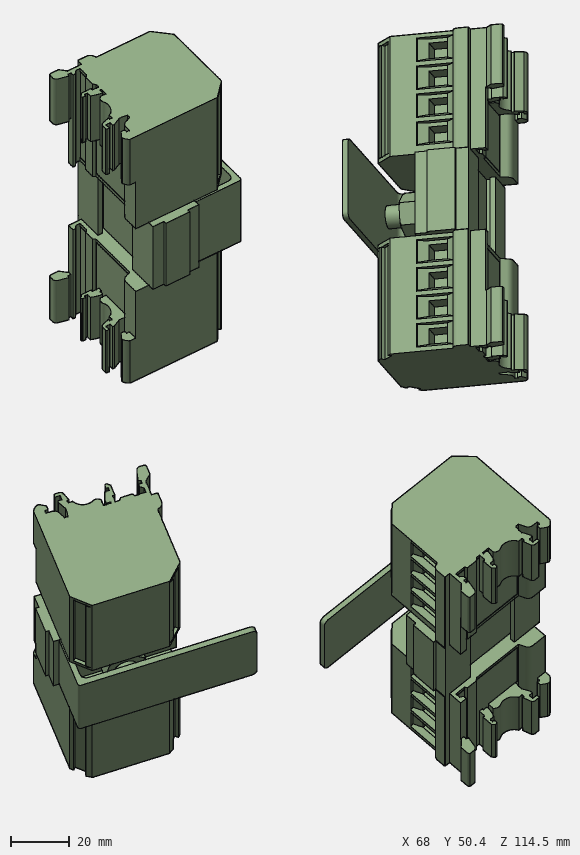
import cadquery as cq
import math


total_height = 114.5
slices_per_stack = 4
slice_pitch = 10.1
end_plate = 1.5
slices_height = slices_per_stack * slice_pitch
lower_height = slices_height + end_plate
upper_height = slices_height + 2 * end_plate
block_height = total_height - lower_height - upper_height
block_bottom = lower_height
block_top = block_bottom + block_height
block_middle = block_bottom + block_height / 2

body_width = 40.1
body_top = 46.4
body_chamfer = 6.0
shoulder = 40.4
ledge_width = 2.3
ledge_bottom = 11.9
ledge_chamfer = 0.2
ledge_side_top = 15.5
ledge_top = 18.1
seat = 10.3
seat_recess = 0.1
trim = 6.5
clip_zone = 19.9
clip_hollow_left = 11.1
clip_hollow_right = 31.0
seat_recess_right = 30.5
foot_notch_left = 1.5
bump_left = 5.5
hook_neck_left = 12.6
hook_neck_right = 14.1
pad_left = 16.8
small_hook_gaps = ((clip_hollow_left, hook_neck_left), (hook_neck_right, pad_left))

entry_height = 8.5
entry_top = 31.0
entry_lip = 1.0
entry_depth = 2.2
entry_floor_rise = 1.4
hole_top = 27.3
hole_bottom = 20.7
hole_roof_gap = 1.5
hole_depth = 6.9
ramp_end = 19.2

channel_bottom = 41.5
channel_top = 44.7
channel_depth = 0.9
ridge_top = 45.9
ridge_rise = 0.6

block_left = -3.2
block_right = 43.7
block_step = 1.1
block_y = (ledge_bottom, 16.5, 26.5, 31.0)
relief_left = 9.8
relief_right = 30.6
relief_lip = 2.0
relief_depth = 3.7
relief_undercut = 2.0

plate_top = 50.4
plate_thickness = 2.1
plate_left = -24.3
plate_right = 40.5
plate_inset = 0.3
plate_corner = 2.1
bend_outer = 0.9
bend_inner = 2.3

stud_diameter = 8.0
stud_top = 46.8
stud_x = body_width / 2
nut_flats = 13.4
nut_bottom = 34.5
nut_height = 6.5
nut_turn = -13.0
nut_chamfer = 0.5


def box(x0, x1, y0, y1, z0, z1):
    return cq.Workplane("XY").box(x1 - x0, y1 - y0, z1 - z0, centered=False).translate((x0, y0, z0))


def housing(z0, height):
    """Terminal housing with its rail feet, spring hooks and side ledge."""
    return (
        cq.Workplane("XY", origin=(0, 0, z0))
        .moveTo(body_chamfer, body_top)
        .lineTo(0, shoulder)
        .lineTo(0, ledge_top)
        .lineTo(-0.9, 17.7)
        .threePointArc((-2.0, 16.8), (-ledge_width, ledge_side_top))
        .lineTo(-ledge_width, ledge_bottom + ledge_chamfer)
        .lineTo(-ledge_width + ledge_chamfer, ledge_bottom)
        .lineTo(0, ledge_bottom)
        .lineTo(0, 6.2)
        .lineTo(-ledge_width, 4.0)
        .lineTo(-ledge_width, 0.9)
        .threePointArc((-2.2, 0.5), (-1.8, 0))
        .lineTo(0.2, 0)
        .threePointArc((0.9, 0.3), (1.4, 0.9))
        .lineTo(2.4, 5.2)
        .lineTo(foot_notch_left, 5.4)
        .lineTo(foot_notch_left, trim)
        .lineTo(2.7, trim)
        .lineTo(2.7, 7.5)
        .lineTo(foot_notch_left, 8.6)
        .lineTo(foot_notch_left, seat)
        .lineTo(bump_left, seat)
        .lineTo(6.1, 9.4)
        .lineTo(10.3, 9.4)
        .lineTo(clip_hollow_left, seat)
        .lineTo(hook_neck_left, seat)
        .lineTo(hook_neck_left, 7.8)
        .lineTo(11.8, 7.8)
        .lineTo(11.8, 3.7)
        .lineTo(12.8, 2.6)
        .lineTo(13.5, 2.6)
        .lineTo(13.7, 3.1)
        .lineTo(13.7, 4.2)
        .lineTo(12.9, 4.2)
        .lineTo(12.9, 5.4)
        .lineTo(14.7, 5.4)
        .threePointArc((15.2, 6.9), (15.7, 8.8))
        .lineTo(15.7, 9.8)
        .lineTo(hook_neck_right, 9.8)
        .lineTo(hook_neck_right, seat)
        .lineTo(pad_left, seat)
        .lineTo(pad_left, 8.0)
        .threePointArc((18.4, 7.1), (20.0, 7.5))
        .threePointArc((22.8, 7.8), (26.2, 5.2))
        .lineTo(27.8, 5.3)
        .lineTo(27.8, 4.2)
        .lineTo(27.1, 4.2)
        .lineTo(28.2, 1.0)
        .threePointArc((28.6, 0.6), (29.2, 0.3))
        .lineTo(31.0, 0.3)
        .lineTo(31.4, 0.7)
        .lineTo(31.4, 1.6)
        .lineTo(29.4, 1.6)
        .lineTo(29.4, 3.3)
        .lineTo(30.9, 3.3)
        .lineTo(30.9, 4.1)
        .lineTo(29.4, 7.1)
        .lineTo(29.4, 8.6)
        .lineTo(29.8, seat)
        .lineTo(clip_hollow_right, seat)
        .lineTo(32.1, 7.9)
        .threePointArc((32.9, 7.0), (34.1, trim))
        .lineTo(36.3, trim)
        .lineTo(36.3, 5.4)
        .lineTo(35.2, 5.4)
        .lineTo(35.2, 3.9)
        .lineTo(37.3, 2.5)
        .lineTo(38.0, 2.4)
        .threePointArc((39.3, 3.2), (body_width, 4.2))
        .lineTo(body_width, shoulder)
        .lineTo(body_width - body_chamfer, body_top)
        .close()
        .extrude(height)
    )


def clip_cutout(z0, z1):
    """Material removed where the stack carries no rail clips."""
    feet = box(-ledge_width, body_width, 0, trim, z0, z1)
    hollow = box(clip_hollow_left, clip_hollow_right, 0, seat, z0, z1)
    return feet.union(hollow)


def seat_cutout(z0, free_bottom, free_top):
    """Slight setback of the slices' seat between their end plates."""
    z1 = z0 + slices_height
    recess = box(foot_notch_left, bump_left, seat, seat + seat_recess, z0, z1)
    for x0, x1 in small_hook_gaps:
        recess = recess.union(box(x0, x1, seat, seat + seat_recess, z0, z1))
    hollow = box(
        clip_hollow_left, seat_recess_right, seat, seat + seat_recess, max(z0, free_bottom), min(z1, free_top)
    )
    return recess.union(hollow)


def wire_entry(top):
    """Funnel with a sloping floor, and the square wire hole behind it."""
    bottom = top - entry_height
    plan = (
        cq.Workplane("XY", origin=(0, 0, bottom))
        .polyline([
            (0, entry_top), (entry_lip, entry_top), (entry_depth, hole_top),
            (entry_depth, hole_bottom), (entry_lip, ramp_end), (0, ledge_top),
        ])
        .close()
        .extrude(entry_height)
    )
    section = (
        cq.Workplane("XZ", origin=(0, entry_top, 0))
        .polyline([(0, bottom), (0, top), (entry_depth, top), (entry_depth, bottom + entry_floor_rise)])
        .close()
        .extrude(entry_top - ledge_top)
    )
    hole = box(
        0, entry_depth + hole_depth, hole_bottom, hole_top, bottom + entry_floor_rise, top - hole_roof_gap
    )
    return plan.intersect(section).union(hole)


def chamfer_x(y):
    """X of the left corner chamfer at height y."""
    return (y - shoulder) * body_chamfer / (body_top - shoulder)


def along_slices(points, z0, mirrored):
    """Prism along all slices of a stack, on the left chamfer or mirrored onto the right one."""
    if mirrored:
        points = [(body_width - x, y) for x, y in points]
    return cq.Workplane("XY", origin=(0, 0, z0)).polyline(points).close().extrude(slices_height)


def marker_channel(z0, mirrored):
    x0 = chamfer_x(channel_bottom)
    x1 = chamfer_x(channel_top)
    points = [
        (x0, channel_bottom), (x1, channel_top),
        (x1 + channel_depth, channel_top - channel_depth), (x0 + channel_depth, channel_bottom - channel_depth),
    ]
    return along_slices(points, z0, mirrored)


def marker_ridge(z0, mirrored):
    x0 = chamfer_x(channel_top)
    x1 = chamfer_x(ridge_top)
    points = [(x0, channel_top), (x0, channel_top + ridge_rise), (x1, ridge_top)]
    return along_slices(points, z0, mirrored)


def stack(z0, height, slices_bottom, free_bottom, free_top):
    body = housing(z0, height).cut(clip_cutout(free_bottom, free_top)).cut(
        seat_cutout(slices_bottom, free_bottom, free_top)
    )
    for i in range(slices_per_stack):
        body = body.cut(wire_entry(slices_bottom + (i + 1) * slice_pitch))
    for mirrored in (False, True):
        body = body.cut(marker_channel(slices_bottom, mirrored))
        body = body.union(marker_ridge(slices_bottom, mirrored))
    return body


def centre_block():
    """Stepped block with an undercut slot along its rail side."""
    y0, y1, y2, y3 = block_y
    narrow = box(block_left + block_step, block_right - block_step, y0, y3, block_bottom, block_top)
    wide = box(block_left, block_right, y1, y2, block_bottom, block_top)
    mouth = box(relief_left, relief_right, y0, y0 + relief_depth, block_bottom, block_top)
    undercut = box(
        relief_left - relief_undercut, relief_right + relief_undercut,
        y0 + relief_lip, y0 + relief_depth, block_bottom, block_top,
    )
    return narrow.union(wide).cut(mouth).cut(undercut)


def bent_plate():
    z0 = block_bottom + plate_inset
    z1 = block_top - plate_inset
    outer = box(plate_left, plate_right, block_y[-1], plate_top, z0, z1)
    outer = outer.edges("|Z and >X and >Y").fillet(bend_outer)
    outer = outer.edges("|Y and <X").fillet(plate_corner)
    inner = box(plate_left, plate_right - plate_thickness, block_y[-1], plate_top - plate_thickness, z0, z1)
    inner = inner.edges("|Z and >X and >Y").fillet(bend_inner)
    return outer.cut(inner)


def along_stud(y):
    """Workplane square to the stud at height y, with its normal toward +Y."""
    return cq.Workplane("ZX", origin=(stud_x, y, block_middle))


def stud_and_nut():
    stud = along_stud(block_y[-1]).circle(stud_diameter / 2).extrude(stud_top - block_y[-1])
    corners = nut_flats / math.cos(math.pi / 6)
    nut = along_stud(nut_bottom).polygon(6, corners).extrude(nut_height)
    nut = nut.rotate((stud_x, 0, block_middle), (stud_x, 1, block_middle), nut_turn)
    rounding = along_stud(nut_bottom).circle(corners / 2).extrude(nut_height).edges().chamfer(nut_chamfer)
    return stud.union(nut.intersect(rounding))


lower_stack = stack(0, lower_height, 0, clip_zone, lower_height)
upper_stack = stack(
    block_top, upper_height, block_top + end_plate, block_top, total_height - clip_zone - end_plate
)

result = (
    centre_block()
    .union(lower_stack)
    .union(upper_stack)
    .union(bent_plate())
    .union(stud_and_nut())
)